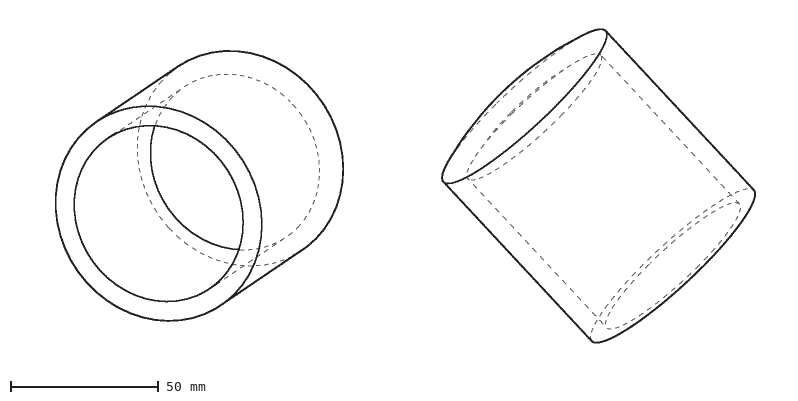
import cadquery as cq

outer_diameter = 75.0
wall = 6.8
tube_length = 75.0
dome_rise = 6.67

outer_radius = outer_diameter / 2
bore_radius = outer_radius - wall

outer_dome_radius = (outer_radius**2 + dome_rise**2) / (2 * dome_rise)
dome_center_y = tube_length + dome_rise - outer_dome_radius

inner_dome_radius = outer_dome_radius - wall


def domed_cylinder(radius, dome_radius):
    """Solid cylinder from Y = 0, ended by a spherical dome about the common dome center."""
    apex_y = dome_center_y + dome_radius
    edge_y = dome_center_y + (dome_radius**2 - radius**2) ** 0.5
    mid_radius = radius / 2
    mid_y = dome_center_y + (dome_radius**2 - mid_radius**2) ** 0.5
    half_profile = (
        cq.Workplane("XY")
        .lineTo(radius, 0)
        .lineTo(radius, edge_y)
        .threePointArc((mid_radius, mid_y), (0, apex_y))
        .close()
    )
    return half_profile.revolve(360, (0, 0, 0), (0, 1, 0))


body = domed_cylinder(outer_radius, outer_dome_radius)
cavity = domed_cylinder(bore_radius, inner_dome_radius)
result = body.cut(cavity)